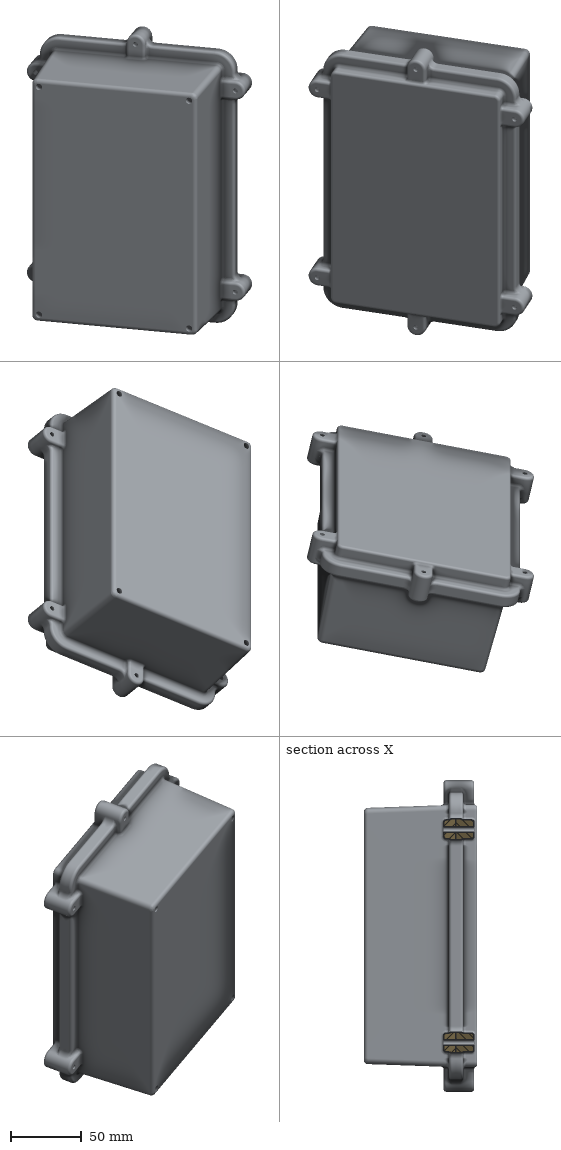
import cadquery as cq

case_width = 125.4
case_height = 185.2
case_corner_radius = 4.0
base_depth = 65.1
lid_depth = 15.0
base_draft = 2.0
base_edge_radius = 2.9

edge_radius = 2.0

flange_width = 143.0
flange_height = 202.8
flange_corner_radius = 14.3
flange_half_thickness = 5.0

lug_radius = 6.8
lug_span_x = 160.0
lug_span_z = 220.0
lug_blend_radius = 5.0
side_lug_z = 75.2
base_lug_depth = 8.8
lid_lug_depth = 12.8
screw_hole_diameter = 3.5
side_screw_x = lug_span_x / 2 - lug_radius
end_screw_z = lug_span_z / 2 - lug_radius

corner_hole_diameter = 4.6
corner_hole_depth = 4.5
corner_hole_x = 55.0
corner_hole_z = 85.1

contact_tolerance = 0.0002
parting_clearance = 0.02


def rounded_slab(width, height, corner_radius, depth):
    """Rounded rectangle from the parting plane to the given depth."""
    outline = cq.Sketch().rect(width, height).vertices().fillet(corner_radius)
    return cq.Workplane("XZ").placeSketch(outline).extrude(depth)


def case_block(depth, outer_edge_radius, draft=0):
    """Solid block of one case body, with rounded corners along its depth and a rounded outer face."""
    block = cq.Workplane("XZ").rect(case_width, case_height).extrude(depth, taper=draft)
    return round_outer_face(block.edges("not #Y").fillet(case_corner_radius), outer_edge_radius)


def lug_bars(depth):
    """Round-ended bars that run across the case, each making a pair of opposite lugs."""
    side_places = cq.Workplane("XZ").pushPoints([(0, -side_lug_z), (0, side_lug_z)])
    side_bars = side_places.slot2D(lug_span_x, 2 * lug_radius).extrude(depth)
    end_place = cq.Workplane("XZ").pushPoints([(0, 0)])
    end_bar = end_place.slot2D(lug_span_z, 2 * lug_radius, 90).extrude(depth)
    return side_bars.union(end_bar)


def round_outer_face(body, radius):
    return body.faces("<Y").edges().fillet(radius)


def flange_plate():
    """Half flange whose outline swells around the lugs, with a rounded outer edge."""
    sharp_plate = rounded_slab(flange_width, flange_height, flange_corner_radius, flange_half_thickness)
    sharp_plate = sharp_plate.union(lug_bars(flange_half_thickness))
    sharp_outline = sharp_plate.faces(">Y").wires().val()
    grown_outline = sharp_outline.offset2D(lug_blend_radius)[0]
    blended_outline = grown_outline.offset2D(-lug_blend_radius)[0]
    plate = cq.Workplane("XZ").add(blended_outline).toPending().extrude(flange_half_thickness)
    return round_outer_face(plate, edge_radius)


def join_with_cove(first, second):
    """Union of two pieces, with a fillet in the corner where their surfaces meet."""
    joined = first.union(second)
    first_skin = first.val().Shells()[0]
    second_skin = second.val().Shells()[0]
    seam = []
    for edge in joined.edges().vals():
        if edge.BoundingBox().ymax > -parting_clearance:
            continue
        middle = cq.Vertex.makeVertex(*edge.positionAt(0.5).toTuple())
        on_first = middle.distance(first_skin) < contact_tolerance
        if on_first and middle.distance(second_skin) < contact_tolerance:
            seam.append(edge)
    return joined.newObject(seam).fillet(edge_radius)


def drill_screw_holes(body):
    points = [(x, z) for x in (-side_screw_x, side_screw_x) for z in (-side_lug_z, side_lug_z)]
    points += [(0, -end_screw_z), (0, end_screw_z)]
    holes = cq.Workplane("XZ").pushPoints(points).circle(screw_hole_diameter / 2).extrude(base_depth)
    return body.cut(holes)


def case_half(block, lug_depth):
    """Case block with its half of the flange, its lugs and their screw holes."""
    flanged_block = join_with_cove(flange_plate(), block)
    lugs = round_outer_face(lug_bars(lug_depth), edge_radius)
    return drill_screw_holes(join_with_cove(flanged_block, lugs))


def make_base():
    body = case_half(case_block(base_depth, base_edge_radius, base_draft), base_lug_depth)
    floor = cq.Workplane("XZ", origin=(0, -base_depth, 0))
    holes = floor.rect(2 * corner_hole_x, 2 * corner_hole_z, forConstruction=True).vertices()
    return body.cut(holes.circle(corner_hole_diameter / 2).extrude(-corner_hole_depth))


def make_lid():
    body = case_half(case_block(lid_depth, edge_radius), lid_lug_depth)
    return body.mirror("XZ")


base = make_base().solids()
lid = make_lid().solids()

result = cq.Compound.makeCompound([base.val(), lid.val()])